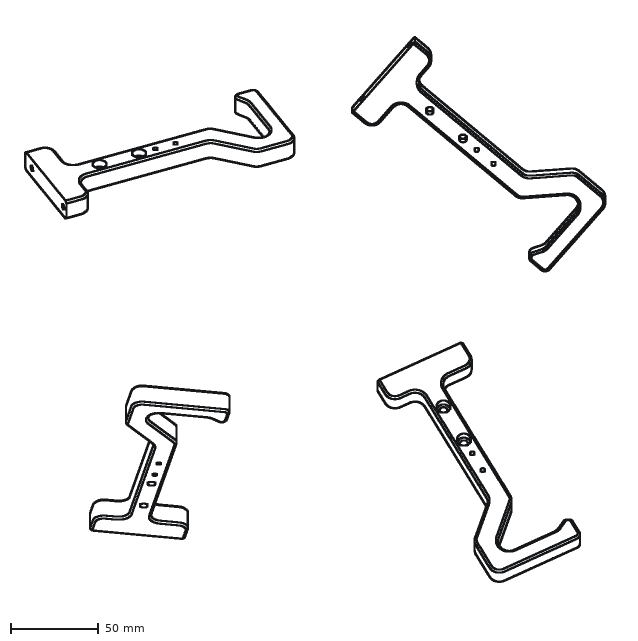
import cadquery as cq
import math

total_width = 56.52
total_length = 146.05
thickness = 12.7
edge_chamfer = 1.27

stem_width = 12.7
left_reach = 29.9
foot_width = 55.2
foot_length = 15.875
bend_radius = 6.35

arm_width = 10.25
diagonal_width = 13.0
elbow_y = 105.62
tip_radius = 3.175
tip_angle = 31.0
lip_end = 10.7

screw_hole_diameter = 4.5
counterbore_diameter = 8.0
counterbore_depth = 4.5
screw_hole_ys = (33.0, 58.0)
pin_hole_diameter = 2.46
pin_hole_ys = (68.3, 81.0)
foot_hole_diameter = 3.3
foot_hole_spacing = 41.8
foot_hole_depth = 10.0
drill_point_angle = 118.0

left_x = -left_reach
right_x = left_x + total_width
foot_right_x = left_x + foot_width
stem_half = stem_width / 2


def rounded_outline(corners):
    """Outline through (x, y, radius) corners, rounding each corner that has a radius."""
    stretches = []
    for index, (x, y, radius) in enumerate(corners):
        corner = cq.Vector(x, y)
        before = cq.Vector(*corners[index - 1][:2])
        after = cq.Vector(*corners[(index + 1) % len(corners)][:2])
        to_before = (before - corner).normalized()
        to_after = (after - corner).normalized()
        if radius == 0:
            stretches.append((corner,))
            continue
        half_angle = to_before.getAngle(to_after) / 2
        setback = radius / math.tan(half_angle)
        bisector = (to_before + to_after).normalized()
        middle = corner + bisector * (radius / math.sin(half_angle) - radius)
        stretches.append((corner + to_before * setback, middle, corner + to_after * setback))

    outline = cq.Workplane("XY").moveTo(*stretches[0][-1].toTuple()[:2])
    for stretch in stretches[1:]:
        outline = outline.lineTo(*stretch[0].toTuple()[:2])
        if len(stretch) > 1:
            outline = outline.threePointArc(stretch[1].toTuple()[:2], stretch[2].toTuple()[:2])
    return outline.close()


def make_body():
    """Flat hook: foot, stem, 45 degree run and arm, with top and bottom edges chamfered."""
    arm_y = total_length - arm_width
    inner_offset = elbow_y + stem_half
    outer_offset = inner_offset - diagonal_width * math.sqrt(2)
    tip_y = arm_y - lip_end * math.tan(math.radians(tip_angle))
    corners = [
        (left_x, 0, 0),
        (foot_right_x, 0, 0),
        (foot_right_x, foot_length, bend_radius),
        (stem_half, foot_length, bend_radius),
        (stem_half, stem_half + outer_offset, bend_radius),
        (right_x, right_x + outer_offset, bend_radius),
        (right_x, total_length, bend_radius),
        (left_x, total_length, tip_radius),
        (left_x, tip_y, tip_radius),
        (left_x + lip_end, arm_y, bend_radius),
        (arm_y - inner_offset, arm_y, bend_radius),
        (-stem_half, elbow_y, bend_radius),
        (-stem_half, foot_length, bend_radius),
        (left_x, foot_length, bend_radius),
    ]
    body = rounded_outline(corners).extrude(thickness)
    rim = body.faces("|Z").edges(cq.selectors.SubtractSelector(
        cq.selectors.StringSyntaxSelector("#Z"), cq.selectors.StringSyntaxSelector("<Y")))
    return rim.chamfer(edge_chamfer)


def cut_stem_holes(body):
    """Counterbored screw holes and plain pin holes through the stem."""
    top = cq.Workplane("XY", origin=(0, 0, thickness))
    screw_points = [(0, y) for y in screw_hole_ys]
    pin_points = [(0, y) for y in pin_hole_ys]
    body = body.cut(top.pushPoints(screw_points).circle(screw_hole_diameter / 2).extrude(-thickness))
    body = body.cut(top.pushPoints(screw_points).circle(counterbore_diameter / 2).extrude(-counterbore_depth))
    return body.cut(top.pushPoints(pin_points).circle(pin_hole_diameter / 2).extrude(-thickness))


def cut_foot_holes(body):
    """Blind drilled holes with conical ends, running in from the foot face."""
    radius = foot_hole_diameter / 2
    point_length = radius / math.tan(math.radians(drill_point_angle / 2))
    drill = (
        cq.Workplane("XY")
        .polyline([
            (0, 0),
            (radius, 0),
            (radius, foot_hole_depth),
            (0, foot_hole_depth + point_length),
        ])
        .close()
        .revolve(360, (0, 0), (0, 1))
    )
    for side in (-1, 1):
        body = body.cut(drill.translate((side * foot_hole_spacing / 2, 0, thickness / 2)))
    return body


result = cut_foot_holes(cut_stem_holes(make_body()))